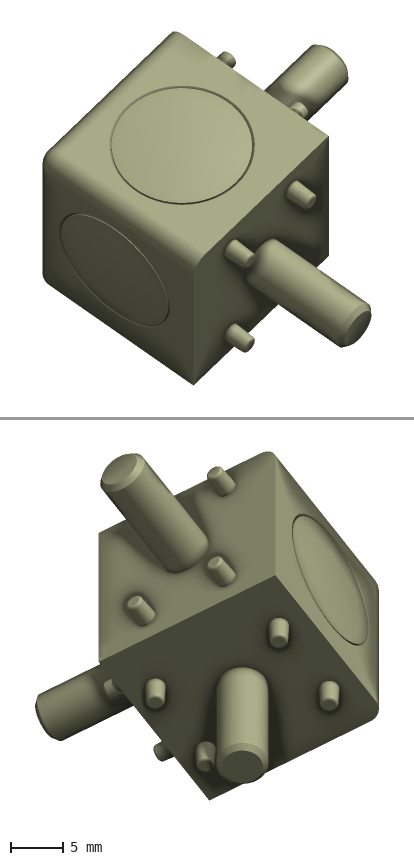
import cadquery as cq

overall_length = 32.65
cube_side = 20.0
corner_radius = 1.8

shaft_diameter = 5.0
shaft_reach = 12.2
shaft_seat = 5.0
shaft_chamfer = 0.52

peg_base_diameter = 2.0
peg_tip_diameter = 1.73
peg_length = 2.48
peg_tip_round = 0.3
peg_near_offset = 4.55
peg_far_offset = 7.0

cap_diameter = 13.5
cap_mouth_diameter = 14.0
cap_rim_depth = 0.03
cap_seat_depth = 2.0
dome_rise = overall_length - cube_side - shaft_reach

half_side = cube_side / 2
cap_radius = cap_diameter / 2
cap_mouth_radius = cap_mouth_diameter / 2
cap_mouth_depth = cap_mouth_radius - cap_radius

shaft_faces = [
    cq.Plane(origin=(half_side, 0, 0), xDir=(0, 0, 1), normal=(1, 0, 0)),
    cq.Plane(origin=(0, half_side, 0), xDir=(0, 0, 1), normal=(0, 1, 0)),
    cq.Plane(origin=(0, 0, -half_side), xDir=(1, 0, 0), normal=(0, 0, -1)),
]

cap_faces = [
    cq.Plane(origin=(-half_side, 0, 0), xDir=(0, 1, 0), normal=(-1, 0, 0)),
    cq.Plane(origin=(0, -half_side, 0), xDir=(1, 0, 0), normal=(0, -1, 0)),
    cq.Plane(origin=(0, 0, half_side), xDir=(1, 0, 0), normal=(0, 0, 1)),
]


def on_face(solid, face, u=0, v=0):
    """Place a solid built along +Z onto a face, shifted by u and v within that face."""
    return cq.Workplane(solid.val().moved(cq.Location(face) * cq.Location(cq.Vector(u, v, 0))))


def make_shaft():
    """Round shaft with a chamfered free end; its seat lies below the face."""
    return (
        cq.Workplane("XY")
        .workplane(offset=-shaft_seat)
        .circle(shaft_diameter / 2)
        .extrude(shaft_seat + shaft_reach)
        .faces(">Z")
        .chamfer(shaft_chamfer)
    )


def make_shaft_seat():
    """Blind hole that holds the shaft."""
    return cq.Workplane("XY").circle(shaft_diameter / 2).extrude(-shaft_seat)


def make_peg():
    """Tapered locating peg with a rounded tip."""
    return (
        cq.Workplane("XY")
        .circle(peg_base_diameter / 2)
        .workplane(offset=peg_length)
        .circle(peg_tip_diameter / 2)
        .loft()
        .faces(">Z")
        .edges()
        .fillet(peg_tip_round)
    )


def make_cap():
    """Disc with a shallow spherical dome whose rim sits just below the face."""
    dome_height = dome_rise + cap_rim_depth
    sphere_radius = (cap_radius ** 2 + dome_height ** 2) / (2 * dome_height)
    sphere = (
        cq.Workplane("XY")
        .sphere(sphere_radius)
        .rotate((0, 0, 0), (0, 1, 0), 90)
        .translate((0, 0, dome_rise - sphere_radius))
    )
    disc = (
        cq.Workplane("XY")
        .workplane(offset=-cap_seat_depth)
        .circle(cap_radius)
        .extrude(cap_seat_depth + dome_rise)
    )
    return disc.intersect(sphere)


def make_cap_seat():
    """Round recess for a cap, opening outwards in a bevel at its mouth."""
    recess = cq.Workplane("XY").circle(cap_radius).extrude(-cap_seat_depth)
    bevel = (
        cq.Workplane("XY")
        .circle(cap_mouth_radius)
        .workplane(offset=-cap_mouth_depth)
        .circle(cap_radius)
        .loft()
    )
    return recess.union(bevel)


def make_housing():
    """Cube with three rounded edges meeting in one corner, seats for shafts and caps, and pegs."""
    body = cq.Workplane("XY").box(cube_side, cube_side, cube_side)
    body = body.edges("(<X and <Y) or (<X and >Z) or (<Y and >Z)").fillet(corner_radius)
    for face in shaft_faces:
        body = body.cut(on_face(make_shaft_seat(), face))
        for u in (-peg_far_offset, peg_far_offset):
            for v in (-peg_near_offset, peg_near_offset):
                body = body.union(on_face(make_peg(), face, u, v))
    for face in cap_faces:
        body = body.cut(on_face(make_cap_seat(), face))
    return body


housing = make_housing()
shafts = [on_face(make_shaft(), face) for face in shaft_faces]
caps = [on_face(make_cap(), face) for face in cap_faces]

result = cq.Compound.makeCompound(
    [housing.val()] + [shaft.val() for shaft in shafts] + [cap.val() for cap in caps]
)